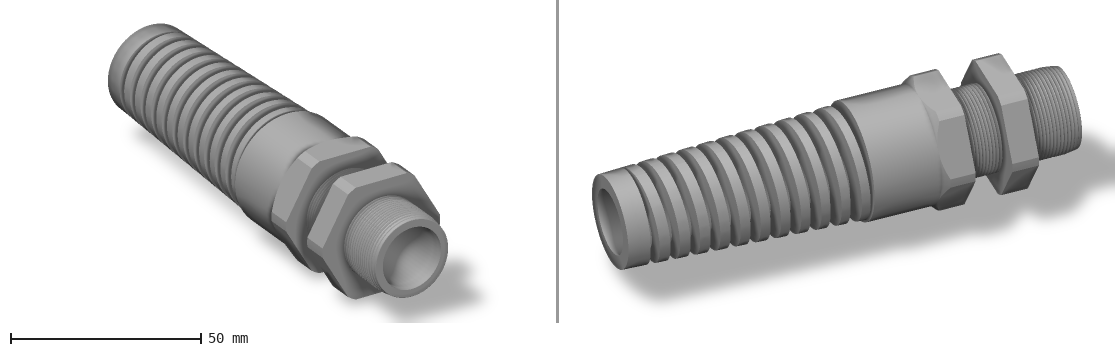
import cadquery as cq
import math


ACROSS_FLATS = 33.02
CORNER_DIAMETER = 36.64
BORE_RADIUS = 9.05
TOTAL_LENGTH = 129.04

END_RING_LENGTH = 6.2
SPIRAL_END = 68.2
CAP_HEX_START = 87.2
CAP_END = 96.1
FLANGE_START = 106.5
FLANGE_END = 114.0

SPIRAL_TIP_RADIUS = 12.95
SPIRAL_ROOT_RADIUS = 15.8
SPIRAL_PITCH = 5.6
SPIRAL_GAP_AT_BORE = 1.5
SPIRAL_GAP_SPREAD = 0.25
SPIRAL_GAP_START = 3.15
SPIRAL_GAP_TURNS = 12
CUT_MARGIN = 1.0

CAP_THREAD_RADIUS = 12.2
ENTRY_THREAD_RADIUS = 11.85
THREAD_DEPTH = 0.65
CAP_THREAD_GROOVES = 11
ENTRY_THREAD_GROOVES = 15
GROOVE_WIDTH = 0.8
ENTRY_TAPER_LENGTH = 3.5
ENTRY_TIP_RADIUS = 11.3

SHANK_RADIUS = CAP_THREAD_RADIUS - THREAD_DEPTH


def cylinder(start, end, radius):
    return cq.Workplane("YZ", origin=(start, 0, 0)).circle(radius).extrude(end - start)


def hexagon(start, end):
    """Hexagonal prism with flats facing +Z and -Z and its corners turned down."""
    full_corner_diameter = ACROSS_FLATS / math.cos(math.pi / 6)
    prism = (
        cq.Workplane("YZ", origin=(start, 0, 0))
        .polygon(6, full_corner_diameter)
        .extrude(end - start)
    )
    return prism.intersect(cylinder(start, end, CORNER_DIAMETER / 2))


def revolve_about_x(points):
    return cq.Workplane("XY").polyline(points).close().revolve(360, (0, 0, 0), (1, 0, 0))


def spiral_gap_width(radius):
    return SPIRAL_GAP_AT_BORE + SPIRAL_GAP_SPREAD * (radius - BORE_RADIUS)


def spiral_gap():
    """Helical slot between the coils, widening outwards and cut off flat at both ends of the spiral."""
    inner_radius = BORE_RADIUS - CUT_MARGIN
    outer_radius = SPIRAL_ROOT_RADIUS + CUT_MARGIN
    inner_half_width = spiral_gap_width(inner_radius) / 2
    outer_half_width = spiral_gap_width(outer_radius) / 2
    helix = cq.Wire.makeHelix(SPIRAL_PITCH, SPIRAL_PITCH * SPIRAL_GAP_TURNS, BORE_RADIUS)
    slot = (
        cq.Workplane("XZ")
        .polyline(
            [
                (inner_radius, -inner_half_width),
                (outer_radius, -outer_half_width),
                (outer_radius, outer_half_width),
                (inner_radius, inner_half_width),
            ]
        )
        .close()
        .sweep(cq.Workplane(obj=helix), isFrenet=True)
        .rotate((0, 0, 0), (0, 1, 0), 90)
        .translate((SPIRAL_GAP_START, 0, 0))
    )
    return slot.intersect(cylinder(END_RING_LENGTH, SPIRAL_END, outer_radius + CUT_MARGIN))


def spiral_blank():
    """Solid tapered blank of the spiral, widening from its tip towards the sleeve."""
    return cq.Workplane(
        obj=cq.Solid.makeCone(
            SPIRAL_TIP_RADIUS,
            SPIRAL_ROOT_RADIUS,
            SPIRAL_END,
            cq.Vector(0, 0, 0),
            cq.Vector(1, 0, 0),
        )
    )


def cap():
    """Spiral strain relief, round sleeve and hexagon in one piece, with a socket for the nipple."""
    spiral = spiral_blank().cut(spiral_gap())
    spiral = spiral.cut(cylinder(0, SPIRAL_END, BORE_RADIUS))

    flat_radius = ACROSS_FLATS / 2
    corner_radius = CORNER_DIAMETER / 2
    sleeve = cylinder(SPIRAL_END, CAP_HEX_START, flat_radius)
    chamfer_end = CAP_HEX_START + corner_radius - flat_radius
    chamfer_cone = revolve_about_x(
        [
            (CAP_HEX_START, 0),
            (CAP_HEX_START, flat_radius),
            (chamfer_end, corner_radius),
            (CAP_END, corner_radius),
            (CAP_END, 0),
        ]
    )
    grip = hexagon(CAP_HEX_START, CAP_END).intersect(chamfer_cone)
    sleeve = sleeve.union(grip)
    sleeve = sleeve.cut(cylinder(SPIRAL_END, CAP_END, BORE_RADIUS))
    sleeve = sleeve.cut(cylinder(CAP_HEX_START, CAP_END, SHANK_RADIUS))
    return spiral.union(sleeve)


def threaded_stub(start, end, crest_radius, groove_count):
    """Solid stub with evenly spaced ring-shaped V grooves and a half groove at each end."""
    pitch = (end - start) / groove_count
    root_radius = crest_radius - THREAD_DEPTH
    outline = [(start, 0), (start, root_radius)]
    for index in range(groove_count):
        groove = start + index * pitch
        outline += [
            (groove + GROOVE_WIDTH / 2, crest_radius),
            (groove + pitch - GROOVE_WIDTH / 2, crest_radius),
            (groove + pitch, root_radius),
        ]
    outline.append((end, 0))
    return revolve_about_x(outline)


def entry_envelope():
    """Outer limit of the entry thread: a cylinder that tapers towards the free end."""
    return revolve_about_x(
        [
            (FLANGE_END, 0),
            (FLANGE_END, ENTRY_THREAD_RADIUS),
            (TOTAL_LENGTH - ENTRY_TAPER_LENGTH, ENTRY_THREAD_RADIUS),
            (TOTAL_LENGTH, ENTRY_TIP_RADIUS),
            (TOTAL_LENGTH, 0),
        ]
    )


def nipple():
    """Hexagonal flange between two threads, with a plain shank seated in the cap's socket."""
    shank = cylinder(CAP_HEX_START, CAP_END, SHANK_RADIUS)
    cap_thread = threaded_stub(CAP_END, FLANGE_START, CAP_THREAD_RADIUS, CAP_THREAD_GROOVES)
    flange = hexagon(FLANGE_START, FLANGE_END)
    entry_thread = threaded_stub(FLANGE_END, TOTAL_LENGTH, ENTRY_THREAD_RADIUS, ENTRY_THREAD_GROOVES)
    entry_thread = entry_thread.intersect(entry_envelope())
    body = shank.union(cap_thread).union(flange).union(entry_thread)
    return body.cut(cylinder(CAP_HEX_START, TOTAL_LENGTH, BORE_RADIUS))


result = cq.Compound.makeCompound([cap().val(), nipple().val()])